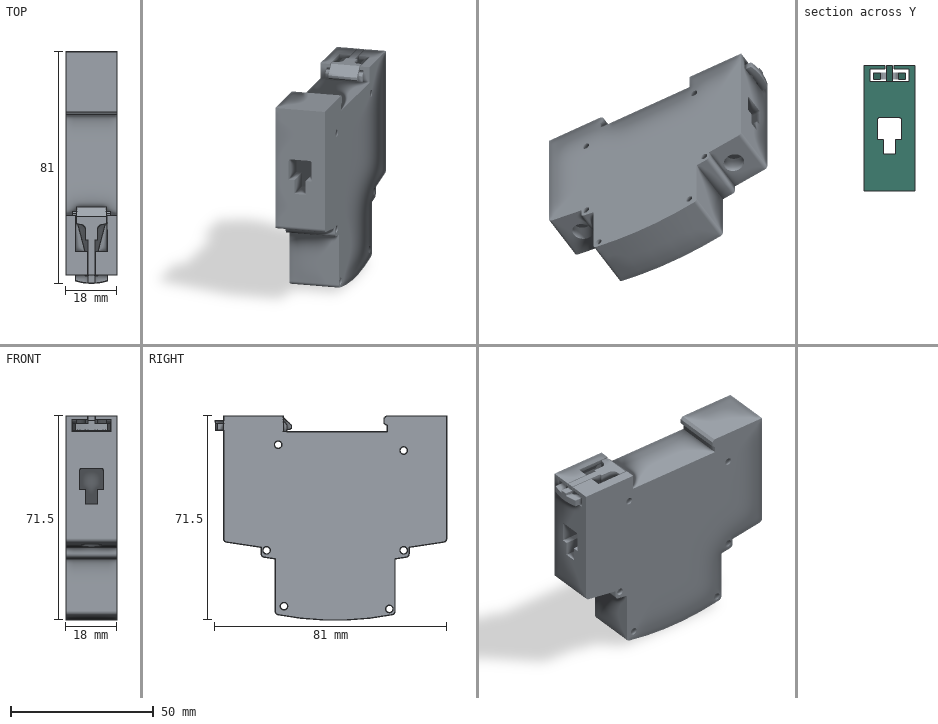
import cadquery as cq
import math


WIDTH = 18.0
HEIGHT = 71.45
BODY_HALF = 39.05
TAB_HALF = 25.9
NOSE_HALF = 21.0
BODY_CORNER_Z = -44.0
TAB_CORNER_Z = -49.25
SHOULDER_SLOPE = 0.15
NOSE_SAG = 2.1
CORNER_RADIUS = 1.3

RAIL_HALF = 18.15
RAIL_DEPTH = 5.5
LIP_REACH = 1.1
LIP_TOP_CHAMFER = 0.9
LIP_BOTTOM_Z = -2.6
LIP_ROOT_Z = -3.3

CROSS_HOLE_DIAMETER = 2.5
CROSS_HOLES = [
    (24.0, -12.1),
    (-19.9, -10.05),
    (24.0, -47.0),
    (-24.0, -47.0),
    (18.95, -67.5),
    (-17.9, -66.5),
]

KEYHOLE_TOP_Z = -18.3
KEYHOLE_STEP_Z = -25.75
KEYHOLE_BOTTOM_Z = -30.8
KEYHOLE_HALF = 4.1
KEYHOLE_SLOT_HALF = 2.0
KEYHOLE_RADIUS = 0.7
KEYHOLE_DEPTH = 9.7
SCREW_HOLE_DIAMETER = 7.1
SCREW_HOLE_Y = 30.8
SCREW_HOLE_TOP_Z = -38.9

CAVITY_HALF = 6.8
CAVITY_ROOF_Z = -1.3
WINDOW_HALF = 5.5
WINDOW_FRONT_Y = -30.8
SLOT_HALF = 1.45

HOOK_HALF = 5.2
HOOK_TIP_Y = -15.2
HOOK_RAMP_TOP_Y = -18.6
HOOK_TIP_TOP_Z = -3.3
HOOK_TIP_BOTTOM_Z = -4.2
HOOK_BOTTOM_Z = -4.8
HOOK_CHAMFER = 0.7
FLANGE_HALF = 6.7
FLANGE_BACK_Y = -16.85
FLANGE_TOP_Z = -2.1
FLANGE_CHAMFER_LENGTH = 0.7
FLANGE_CHAMFER_HEIGHT = 1.05
FLARE_X = 4.1
FLARE_Y = -21.3
NECK_HALF = 2.0
NECK_FRONT_Y = -26.7
STEM_HALF = 1.2
TIP_TOP_Z = -1.6
PLATE_TOP_Z = -2.6
PLATE_BOTTOM_Z = -5.0
PLATE_HALF = 5.7
PLATE_TAPER_BACK_Y = -21.9
PLATE_TAPER_FRONT_Y = -23.3
HANDLE_CORNER_Y = -41.1
HANDLE_FRONT_Y = -41.95
OPENING_BACK_HALF = 4.9
OPENING_BACK_Y = -21.1
OPENING_FRONT_HALF = 2.2
OPENING_TAPER_END_Y = -31.2
OPENING_NOTCH_HALF = 4.05
OPENING_NOTCH_Y = -37.4
OPENING_FRONT_Y = -39.3


def block(half_width, y_back, y_front, z_bottom, z_top):
    """Box centred on X between two Y and two Z values."""
    return (
        cq.Workplane("XY", origin=(0, 0, z_bottom))
        .rect(2 * half_width, y_back - y_front)
        .extrude(z_top - z_bottom)
        .translate((0, (y_back + y_front) / 2, 0))
    )


def side_extrusion(points, width):
    """Prism across X with the given (Y, Z) outline."""
    return cq.Workplane("YZ").polyline(points).close().extrude(width / 2, both=True)


def mirrored_outline(points):
    """Full (X, Y) outline from the points of its +X half."""
    return points + [(-x, y) for x, y in reversed(points)]


def housing_blank():
    shoulder_z = BODY_CORNER_Z - SHOULDER_SLOPE * (BODY_HALF - TAB_HALF)
    nose_root_z = TAB_CORNER_Z - SHOULDER_SLOPE * (TAB_HALF - NOSE_HALF)
    nose_corner_z = -HEIGHT + NOSE_SAG
    outline = (
        cq.Workplane("YZ")
        .moveTo(-BODY_HALF, 0)
        .lineTo(-BODY_HALF, BODY_CORNER_Z)
        .lineTo(-TAB_HALF, shoulder_z)
        .lineTo(-TAB_HALF, TAB_CORNER_Z)
        .lineTo(-NOSE_HALF, nose_root_z)
        .lineTo(-NOSE_HALF, nose_corner_z)
        .threePointArc((0, -HEIGHT), (NOSE_HALF, nose_corner_z))
        .lineTo(NOSE_HALF, nose_root_z)
        .lineTo(TAB_HALF, TAB_CORNER_Z)
        .lineTo(TAB_HALF, shoulder_z)
        .lineTo(BODY_HALF, BODY_CORNER_Z)
        .lineTo(BODY_HALF, 0)
        .close()
    )
    blank = outline.extrude(WIDTH / 2, both=True)
    outer_corners = [
        (BODY_HALF, BODY_CORNER_Z),
        (TAB_HALF, TAB_CORNER_Z),
        (NOSE_HALF, nose_corner_z),
    ]
    for y, z in outer_corners:
        for side in (-1, 1):
            edge = cq.selectors.NearestToPointSelector((0, side * y, z))
            blank = blank.edges("|X").edges(edge).fillet(CORNER_RADIUS)
    return blank


def rail_recess():
    lip_y = RAIL_HALF - LIP_REACH
    return side_extrusion(
        [
            (-RAIL_HALF, 0),
            (-RAIL_HALF, -RAIL_DEPTH),
            (RAIL_HALF, -RAIL_DEPTH),
            (RAIL_HALF, LIP_ROOT_Z),
            (lip_y, LIP_BOTTOM_Z),
            (lip_y, -LIP_TOP_CHAMFER),
            (lip_y + LIP_TOP_CHAMFER, 0),
        ],
        WIDTH,
    )


def cross_holes():
    return (
        cq.Workplane("YZ")
        .pushPoints(CROSS_HOLES)
        .circle(CROSS_HOLE_DIAMETER / 2)
        .extrude(WIDTH / 2, both=True)
    )


def terminal_openings():
    """Keyhole pocket in the -Y end face and the screw hole in the shoulder below it."""
    inner_y = KEYHOLE_DEPTH - BODY_HALF
    head = block(KEYHOLE_HALF, inner_y, -BODY_HALF, KEYHOLE_STEP_Z, KEYHOLE_TOP_Z)
    head = head.edges("|Y and >Z").fillet(KEYHOLE_RADIUS)
    slot = block(KEYHOLE_SLOT_HALF, inner_y, -BODY_HALF, KEYHOLE_BOTTOM_Z, KEYHOLE_STEP_Z)
    screw_hole = (
        cq.Workplane("XY", origin=(0, -SCREW_HOLE_Y, SCREW_HOLE_TOP_Z))
        .circle(SCREW_HOLE_DIAMETER / 2)
        .extrude(TAB_CORNER_Z - SCREW_HOLE_TOP_Z)
    )
    return head.union(slot).union(screw_hole)


def latch_guideway():
    """Cavity from the end face to the rail, with a window and a stem slot in its roof."""
    cavity = block(CAVITY_HALF, -RAIL_HALF, -BODY_HALF, -RAIL_DEPTH, CAVITY_ROOF_Z)
    window = block(WINDOW_HALF, -RAIL_HALF, WINDOW_FRONT_Y, CAVITY_ROOF_Z, 0)
    slot = block(SLOT_HALF, WINDOW_FRONT_Y, -BODY_HALF, CAVITY_ROOF_Z, 0)
    return cavity.union(window).union(slot)


def make_housing():
    openings = terminal_openings()
    return (
        housing_blank()
        .cut(rail_recess())
        .cut(cross_holes())
        .cut(openings)
        .cut(openings.mirror("XZ"))
        .cut(latch_guideway())
    )


def latch_plan():
    """Plan of the slider: wide flange, flared shoulders, neck and narrow stem."""
    shoulder_radius = FLANGE_HALF - FLARE_X
    hollow_radius = FLARE_X - NECK_HALF
    diagonal = math.sqrt(0.5)
    shoulder_y = FLARE_Y + shoulder_radius
    hollow_y = FLARE_Y - hollow_radius
    shoulder_mid = (FLARE_X + shoulder_radius * diagonal, shoulder_y - shoulder_radius * diagonal)
    hollow_mid = (FLARE_X - hollow_radius * diagonal, hollow_y + hollow_radius * diagonal)
    half = (
        cq.Workplane("XY", origin=(0, 0, -RAIL_DEPTH))
        .moveTo(0, HOOK_TIP_Y)
        .lineTo(FLANGE_HALF, HOOK_TIP_Y)
        .lineTo(FLANGE_HALF, shoulder_y)
        .threePointArc(shoulder_mid, (FLARE_X, FLARE_Y))
        .threePointArc(hollow_mid, (NECK_HALF, hollow_y))
        .lineTo(NECK_HALF, NECK_FRONT_Y)
        .lineTo(STEM_HALF, NECK_FRONT_Y)
        .lineTo(STEM_HALF, -BODY_HALF)
        .lineTo(0, -BODY_HALF)
        .close()
        .extrude(RAIL_DEPTH)
    )
    return half.union(half.mirror("YZ"))


def latch_slider():
    hook = side_extrusion(
        [
            (HOOK_RAMP_TOP_Y, 0),
            (HOOK_TIP_Y, HOOK_TIP_TOP_Z),
            (HOOK_TIP_Y, HOOK_TIP_BOTTOM_Z),
            (HOOK_TIP_Y - HOOK_CHAMFER, HOOK_BOTTOM_Z),
            (-BODY_HALF, HOOK_BOTTOM_Z),
            (-BODY_HALF, 0),
        ],
        2 * HOOK_HALF,
    )
    flange = side_extrusion(
        [
            (FLANGE_BACK_Y, -RAIL_DEPTH),
            (FLANGE_BACK_Y, FLANGE_TOP_Z - FLANGE_CHAMFER_HEIGHT),
            (FLANGE_BACK_Y - FLANGE_CHAMFER_LENGTH, FLANGE_TOP_Z),
            (-BODY_HALF, FLANGE_TOP_Z),
            (-BODY_HALF, -RAIL_DEPTH),
        ],
        2 * FLANGE_HALF,
    )
    return latch_plan().intersect(hook.union(flange))


def handle_plate():
    """Flat pull handle with a curved front and a tapered, notched opening around the stem."""
    back_y = FLARE_Y + FLANGE_HALF - FLARE_X
    plate = (
        cq.Workplane("XY", origin=(0, 0, PLATE_BOTTOM_Z))
        .moveTo(-FLANGE_HALF, back_y)
        .lineTo(-FLANGE_HALF, PLATE_TAPER_BACK_Y)
        .lineTo(-PLATE_HALF, PLATE_TAPER_FRONT_Y)
        .lineTo(-PLATE_HALF, HANDLE_CORNER_Y)
        .threePointArc((0, HANDLE_FRONT_Y), (PLATE_HALF, HANDLE_CORNER_Y))
        .lineTo(PLATE_HALF, PLATE_TAPER_FRONT_Y)
        .lineTo(FLANGE_HALF, PLATE_TAPER_BACK_Y)
        .lineTo(FLANGE_HALF, back_y)
        .close()
        .extrude(TIP_TOP_Z - PLATE_BOTTOM_Z)
    )
    raised_tip = block(STEM_HALF, -BODY_HALF, HANDLE_FRONT_Y, PLATE_TOP_Z, TIP_TOP_Z)
    flat_part = block(FLANGE_HALF, back_y, HANDLE_FRONT_Y, PLATE_BOTTOM_Z, PLATE_TOP_Z)
    opening = (
        cq.Workplane("XY", origin=(0, 0, PLATE_BOTTOM_Z))
        .polyline(
            mirrored_outline(
                [
                    (OPENING_BACK_HALF, OPENING_BACK_Y),
                    (OPENING_FRONT_HALF, OPENING_TAPER_END_Y),
                    (OPENING_FRONT_HALF, OPENING_NOTCH_Y),
                    (OPENING_NOTCH_HALF, OPENING_NOTCH_Y),
                    (OPENING_FRONT_HALF, OPENING_FRONT_Y),
                ]
            )
        )
        .close()
        .extrude(PLATE_TOP_Z - PLATE_BOTTOM_Z)
    )
    stem_end = block(STEM_HALF, -BODY_HALF, OPENING_FRONT_Y, PLATE_BOTTOM_Z, TIP_TOP_Z)
    return plate.intersect(flat_part.union(raised_tip)).cut(opening).union(stem_end)


def make_latch():
    return latch_slider().union(handle_plate())


housing = make_housing()
latch = make_latch()

result = cq.Compound.makeCompound([housing.val(), latch.val()])